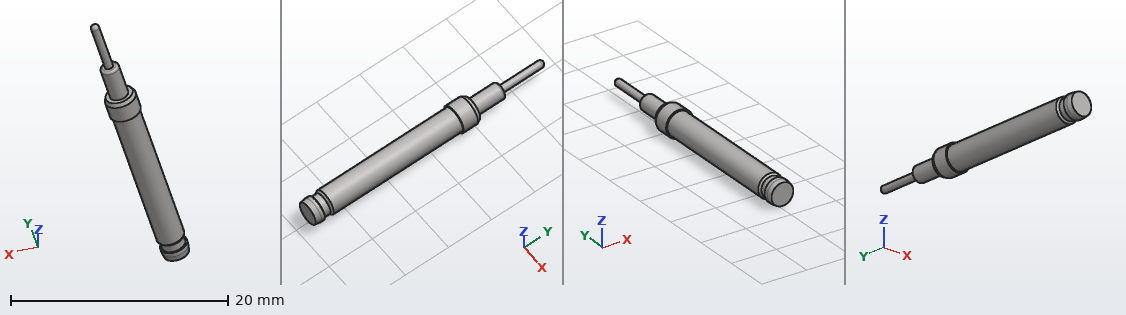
import cadquery as cq

TOTAL_LENGTH = 27.3
REAR_Y = -TOTAL_LENGTH / 2

PIN_DIAMETER = 0.8
SLEEVE_DIAMETER = 1.77
HEAD_DIAMETER = 3.0
HEAD_FRONT_DIAMETER = 2.62
BARREL_DIAMETER = 2.68
GROOVE_DIAMETER = 2.3
COLLAR_DIAMETER = 2.62
REAR_FACE_DIAMETER = 2.43

TAPER_LENGTH = 0.6
COLLAR_LENGTH = 0.4
GROOVE_LENGTH = 0.76
BARREL_LENGTH = 15.18
HEAD_LENGTH = 2.05
SLEEVE_LENGTH = 3.33

BARREL_CHAMFER_LENGTH = 0.25
HEAD_CHAMFER_LENGTH = 0.4
SLEEVE_FILLET = 0.25
TIP_FILLET = 0.35

collar_start = REAR_Y + TAPER_LENGTH
groove_start = collar_start + COLLAR_LENGTH
barrel_start = groove_start + GROOVE_LENGTH
head_start = barrel_start + BARREL_LENGTH
sleeve_start = head_start + HEAD_LENGTH
pin_start = sleeve_start + SLEEVE_LENGTH
pin_length = REAR_Y + TOTAL_LENGTH - pin_start


def frustum(start, length, start_diameter, end_diameter):
    """Round stretch along Y whose diameter changes evenly from start to end."""
    end = start + length
    return (
        cq.Workplane("XY")
        .polyline([(0, start), (start_diameter / 2, start), (end_diameter / 2, end), (0, end)])
        .close()
        .revolve(360, (0, 0, 0), (0, 1, 0))
    )


def cylinder(start, length, diameter):
    """Straight round stretch along Y."""
    return frustum(start, length, diameter, diameter)


def rounded_cylinder(start, length, diameter, fillet_radius):
    """Straight round stretch with a rounded edge on its tip side."""
    return cylinder(start, length, diameter).faces(">Y").edges().fillet(fillet_radius)


taper = frustum(REAR_Y, TAPER_LENGTH, REAR_FACE_DIAMETER, COLLAR_DIAMETER)
collar = cylinder(collar_start, COLLAR_LENGTH, COLLAR_DIAMETER)
groove = cylinder(groove_start, GROOVE_LENGTH, GROOVE_DIAMETER)

barrel_chamfer = frustum(barrel_start, BARREL_CHAMFER_LENGTH, GROOVE_DIAMETER, BARREL_DIAMETER)
barrel = cylinder(
    barrel_start + BARREL_CHAMFER_LENGTH, BARREL_LENGTH - BARREL_CHAMFER_LENGTH, BARREL_DIAMETER
)

head_chamfer_start = sleeve_start - HEAD_CHAMFER_LENGTH
head = cylinder(head_start, HEAD_LENGTH - HEAD_CHAMFER_LENGTH, HEAD_DIAMETER)
head_chamfer = frustum(head_chamfer_start, HEAD_CHAMFER_LENGTH, HEAD_DIAMETER, HEAD_FRONT_DIAMETER)
sleeve = rounded_cylinder(sleeve_start, SLEEVE_LENGTH, SLEEVE_DIAMETER, SLEEVE_FILLET)
pin = rounded_cylinder(pin_start, pin_length, PIN_DIAMETER, TIP_FILLET)

result = taper
for stretch in (collar, groove, barrel_chamfer, barrel, head, head_chamfer, sleeve, pin):
    result = result.union(stretch)